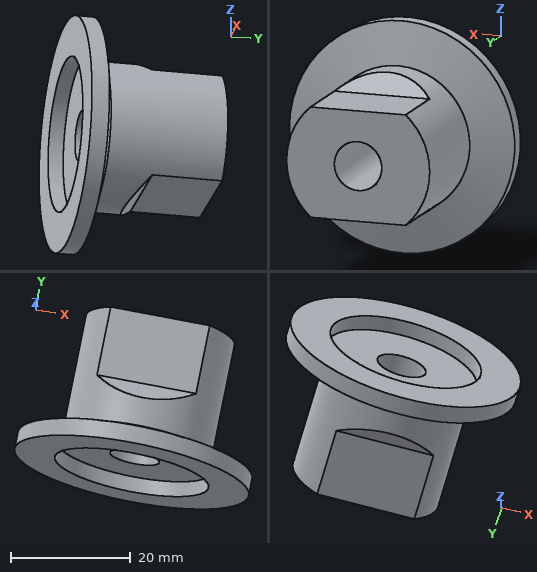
import cadquery as cq
import math

flange_diameter = 40.0
flange_thickness = 3.0
cone_angle = 15.0
total_length = 25.0
boss_diameter = 25.4
recess_diameter = 26.2
recess_depth = 2.6
bore_diameter = 8.4
width_across_flats = 19.0
flat_length = 12.0

flange_radius = flange_diameter / 2
boss_radius = boss_diameter / 2
cone_length = (flange_radius - boss_radius) * math.tan(math.radians(cone_angle))
cone_end = flange_thickness + cone_length
half_across_flats = width_across_flats / 2
flat_start = total_length - flat_length
runout = boss_radius - half_across_flats


def make_body():
    """Flange, conical back and boss, revolved about the Y axis."""
    profile = (
        cq.Workplane("XY")
        .lineTo(flange_radius, 0)
        .lineTo(flange_radius, flange_thickness)
        .lineTo(boss_radius, cone_end)
        .lineTo(boss_radius, total_length)
        .lineTo(0, total_length)
        .close()
    )
    return profile.revolve(360, (0, 0, 0), (0, 1, 0))


def axial_cylinder(diameter, length):
    """Cylinder on the part axis, starting at the flange face."""
    return cq.Workplane("XZ").circle(diameter / 2).extrude(-length)


def make_upper_flat_cutter():
    """Material above the upper wrench flat, including its sloped run-out."""
    return (
        cq.Workplane("YZ")
        .moveTo(flat_start, half_across_flats)
        .lineTo(total_length, half_across_flats)
        .lineTo(total_length, boss_radius)
        .lineTo(flat_start - runout, boss_radius)
        .close()
        .extrude(boss_radius, both=True)
    )


upper_flat_cutter = make_upper_flat_cutter()
result = (
    make_body()
    .cut(axial_cylinder(recess_diameter, recess_depth))
    .cut(axial_cylinder(bore_diameter, total_length))
    .cut(upper_flat_cutter)
    .cut(upper_flat_cutter.mirror("XY"))
)